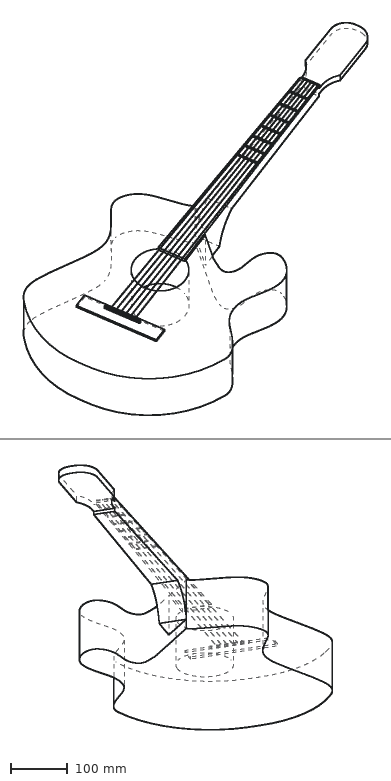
import cadquery as cq
import math


overall_length = 953
headstock_tip_y = overall_length / 2

body_depth = 95
tail_y = -headstock_tip_y
tail_flat_left = -10
tail_flat_right = 16
lower_bout_radius = 200
left_bout_reach = 158
left_bout_rise = lower_bout_radius - math.sqrt(lower_bout_radius**2 - left_bout_reach**2)
left_bout_end = (tail_flat_left - left_bout_reach, tail_y + left_bout_rise)
right_bout_middle = (148, -425)
right_bout_end = (207.5, -340)
shoulder = (-25, -46)
cutaway_start = (67, -138.5)

cutaway_and_right_waist = [
    (84, -150.5),
    (101, -156),
    (113.5, -148),
    (125, -113),
    (136, -86),
    (156.5, -72.5),
    (185, -86),
    (200, -117),
    (185, -165),
    (162.5, -208),
    (162.5, -242),
    (185, -277),
    (206, -308),
    (210.3, -323),
    right_bout_end,
]
left_waist_and_shoulder = [
    (-181.5, -367),
    (-167.5, -320),
    (-136, -260),
    (-116.5, -202),
    (-136, -150),
    (-153.7, -109),
    (-133.5, -76),
    (-90, -60),
    shoulder,
]

sound_hole_diameter = 102
sound_hole_y = -210.5
back_thickness = 5

neck_bottom = 75
neck_top = 101
neck_head_y = 310.5
neck_end_y = -170.5
neck_head_width = 40
neck_end_width = 55
heel_start_y = -2
heel_middle = (-24.5, 59)
heel_end = (-46, 18)
heel_inner_y = -110

headstock_bottom = 81
headstock_top = 95
headstock_width = 71
headstock_corner_radius = 32
headstock_straight_end_y = 357
headstock_root_y = 317
headstock_flare_x = 24
headstock_flare_y = 339
nut_width = 36
nut_back_y = 316
nut_top = 102

bridge_width = 164
bridge_front_y = -334
bridge_back_y = -363
bridge_top = 99
saddle_width = 73
saddle_front_y = -340
saddle_back_y = -343.5
saddle_top = 103

scale_length = 645
fret_origin_y = 309
fret_count = 7
fret_width = 3
fret_height = 0.5
fret_side_gap = 1

string_count = 6
string_diameter = 0.5
string_axis_z = neck_top + fret_height + string_diameter / 2
string_pitch_at_nut = 7
string_pitch_at_saddle = 10


def box(width, y_front, y_back, z_bottom, z_top):
    """Block centred on X = 0 between two Y and two Z levels."""
    block = cq.Workplane("XY").workplane(offset=z_bottom)
    block = block.center(0, (y_front + y_back) / 2)
    return block.rect(width, y_front - y_back).extrude(z_top - z_bottom)


def neck_width_at(y):
    along = (neck_head_y - y) / (neck_head_y - neck_end_y)
    return neck_head_width + along * (neck_end_width - neck_head_width)


def make_body():
    left_half_angle = math.asin(left_bout_reach / lower_bout_radius) / 2
    left_bout_middle = (
        tail_flat_left - lower_bout_radius * math.sin(left_half_angle),
        tail_y + lower_bout_radius * (1 - math.cos(left_half_angle)),
    )
    outline = (
        cq.Workplane("XY")
        .moveTo(*shoulder)
        .lineTo(*cutaway_start)
        .spline(cutaway_and_right_waist, includeCurrent=True)
        .threePointArc(right_bout_middle, (tail_flat_right, tail_y))
        .lineTo(tail_flat_left, tail_y)
        .threePointArc(left_bout_middle, left_bout_end)
        .spline(left_waist_and_shoulder, includeCurrent=True)
        .close()
    )
    sound_hole = (
        cq.Workplane("XY")
        .workplane(offset=back_thickness)
        .center(0, sound_hole_y)
        .circle(sound_hole_diameter / 2)
        .extrude(body_depth - back_thickness)
    )
    return outline.extrude(body_depth).cut(sound_hole)


def make_neck(body):
    side = (
        cq.Workplane("YZ")
        .moveTo(neck_head_y, neck_top)
        .lineTo(neck_head_y, neck_bottom)
        .lineTo(heel_start_y, neck_bottom)
        .threePointArc(heel_middle, heel_end)
        .lineTo(heel_inner_y, heel_end[1])
        .lineTo(heel_inner_y, body_depth)
        .lineTo(neck_end_y, body_depth)
        .lineTo(neck_end_y, neck_top)
        .close()
        .extrude(neck_end_width, both=True)
    )
    plan = (
        cq.Workplane("XY")
        .polyline([
            (-neck_head_width / 2, neck_head_y),
            (neck_head_width / 2, neck_head_y),
            (neck_end_width / 2, neck_end_y),
            (-neck_end_width / 2, neck_end_y),
        ])
        .close()
        .extrude(neck_top)
    )
    neck = side.intersect(plan).cut(body)
    neck = neck.union(make_headstock())
    neck = neck.union(make_nut())
    for number in range(1, fret_count + 1):
        y = fret_origin_y - scale_length * (1 - 2 ** (-number / 12))
        length = neck_width_at(y) - 2 * fret_side_gap
        fret = box(length, y + fret_width / 2, y - fret_width / 2, neck_top, neck_top + fret_height)
        neck = neck.union(fret)
    return neck


def make_headstock():
    half = headstock_width / 2
    root = neck_head_width / 2
    arc = headstock_corner_radius
    headstock = (
        cq.Workplane("XY")
        .workplane(offset=headstock_bottom)
        .moveTo(-root, neck_head_y)
        .lineTo(-root, headstock_root_y)
        .threePointArc((-headstock_flare_x, headstock_flare_y), (-half, headstock_straight_end_y))
        .lineTo(-half, headstock_tip_y - arc)
        .radiusArc((-half + arc, headstock_tip_y), arc)
        .lineTo(half - arc, headstock_tip_y)
        .radiusArc((half, headstock_tip_y - arc), arc)
        .lineTo(half, headstock_straight_end_y)
        .threePointArc((headstock_flare_x, headstock_flare_y), (root, headstock_root_y))
        .lineTo(root, neck_head_y)
        .close()
    )
    return headstock.extrude(headstock_top - headstock_bottom)


def make_nut():
    """Block on the headstock root with its back edge rounded over its whole depth."""
    rounding = nut_back_y - neck_head_y
    return (
        cq.Workplane("YZ")
        .moveTo(neck_head_y, headstock_top)
        .lineTo(nut_back_y, headstock_top)
        .lineTo(nut_back_y, nut_top - rounding)
        .radiusArc((neck_head_y, nut_top), -rounding)
        .close()
        .extrude(nut_width / 2, both=True)
    )


def make_bridge():
    bridge = box(bridge_width, bridge_front_y, bridge_back_y, body_depth, bridge_top)
    return bridge.union(box(saddle_width, saddle_front_y, saddle_back_y, bridge_top, saddle_top))


def make_string(place):
    start = cq.Vector(place * string_pitch_at_nut, neck_head_y, string_axis_z)
    end = cq.Vector(place * string_pitch_at_saddle, saddle_front_y, string_axis_z)
    run = end - start
    return cq.Solid.makeCylinder(string_diameter / 2, run.Length, start, run)


body = make_body()
neck = make_neck(body)
bridge = make_bridge()
strings = [make_string(i - (string_count - 1) / 2) for i in range(string_count)]

result = cq.Compound.makeCompound([body.val(), neck.val(), bridge.val(), *strings])